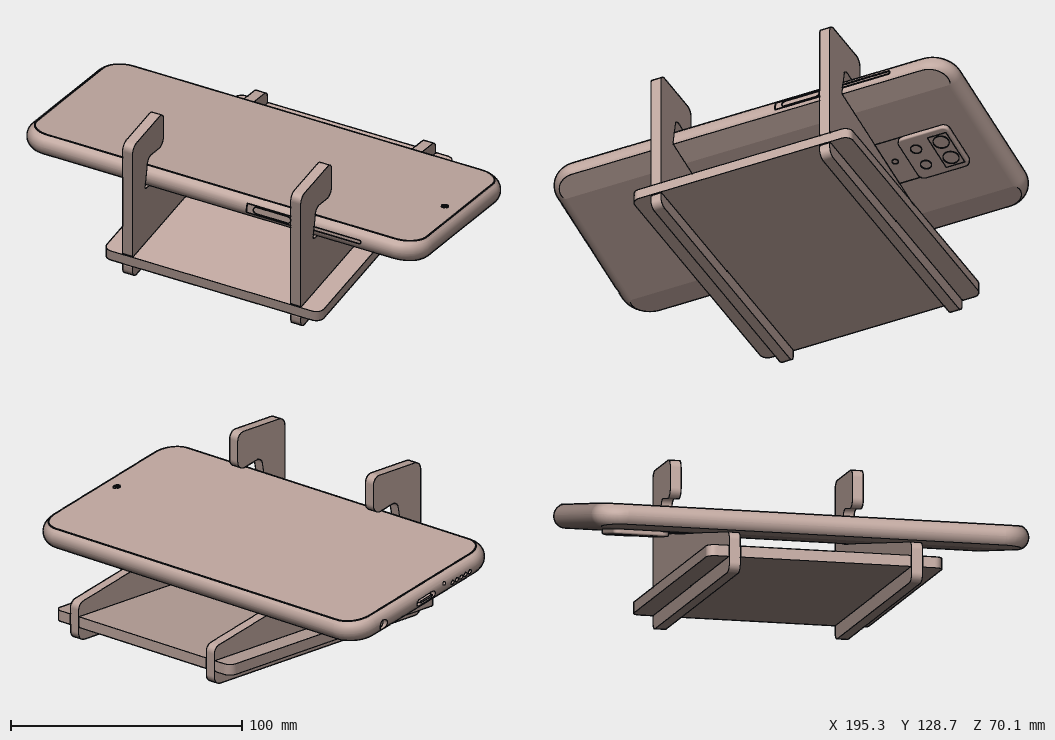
import cadquery as cq
import math


stand_depth = 128.7
stand_height = 70.1
sheet_thickness = 4.9
corner_radius = 3.7
tilt = 11.1
tilt_sin = math.sin(math.radians(tilt))
tilt_cos = math.cos(math.radians(tilt))

first_bracket_x = 58.0
bracket_pitch = 81.6
bracket_x_positions = [first_bracket_x, first_bracket_x + bracket_pitch]
seat_y = 11.7
seat_z = 40.2
slot_height = 15.5
hook_length = 29.5
slot_top_radius = 3.0
seat_radius = 1.4
lap_depth = stand_depth / 2
lap_mouth_radius = 1.0

plate_bottom = 6.5
plate_top = plate_bottom + sheet_thickness
plate_width = 105.5
plate_slot_width = 5.3
plate_center_x = first_bracket_x + (bracket_pitch + sheet_thickness) / 2

phone_length = 195.3
phone_width = 89.8
phone_thickness = 10.4
phone_corner_radius = 13.0
edge_radius = 5.3
side_flat = 0.04
glass_thickness = 1.2
glass_taper = 49.0
screen_thickness = 0.2
screen_inset = 0.4
back_bevel_width = 12.7
back_bevel_height = 1.8
mid_y = phone_width / 2
port_height = 4.1

selfie_x = 185.1
selfie_diameter = 1.8
selfie_depth = 0.8
selfie_rim_diameter = 3.1
selfie_rim_depth = 0.4
power_pocket_length = 24.5
power_pocket_height = 4.3
power_pocket_depth = 0.8
power_key_length = 18.2
power_key_height = 3.1
power_key_rise = 0.4
power_x = 123.8
power_z = 5.3
volume_start = 142.5
volume_end = 167.2
volume_height = 1.8
volume_depth = 0.5
volume_z = 5.0
port_depth = 3.0
usb_length = 11.5
usb_height = 3.3
usb_tongue_length = 7.8
usb_tongue_height = 1.0
jack_y = 71.9
jack_diameter = 4.7
speaker_count = 5
speaker_pitch = 2.7
speaker_diameter = 2.0
first_speaker_y = 17.2
mic_y = 33.2
mic_z = 6.0
mic_diameter = 1.5
camera_size = 24.6
camera_x = 167.2
camera_height = 2.1
camera_corner_radius = 3.0
camera_rim_radius = 0.8
lens_depth = 0.4
lens_spacing = 9.8
lens_offset = 6.0
small_lens_diameter = 4.9
large_lens_diameter = 7.0
lens_panel_width = 9.0
lens_panel_length = camera_size - 2 * camera_corner_radius
lens_panel_height = 0.2
flash_pad_start = 144.5
flash_pad_height = 0.2
flash_x = 148.5
flash_diameter = 2.7
flash_depth = 0.4


def make_bracket():
    """Side sheet with a sloped phone rest under a hook, slotted from the front for the plate."""
    ceiling_y = seat_y + slot_height * tilt_sin
    ceiling_z = seat_z + slot_height * tilt_cos
    hook_z = ceiling_z - (hook_length - ceiling_y) * tilt_sin / tilt_cos
    rear_z = seat_z - (stand_depth - seat_y) * tilt_sin / tilt_cos
    outline = [
        (0, 0),
        (stand_depth, 0),
        (stand_depth, rear_z),
        (seat_y, seat_z),
        (ceiling_y, ceiling_z),
        (hook_length, hook_z),
        (hook_length, stand_height),
        (0, stand_height),
    ]
    sheet = cq.Workplane("YZ").polyline(outline).close().extrude(sheet_thickness)
    lap_slot = cq.Workplane("XY").box(
        sheet_thickness, lap_depth, sheet_thickness, centered=False
    ).translate((0, 0, plate_bottom))
    sheet = sheet.cut(lap_slot)

    corner_radii = [corner_radius] * len(outline)
    corner_radii[outline.index((seat_y, seat_z))] = seat_radius
    corner_radii[outline.index((ceiling_y, ceiling_z))] = slot_top_radius
    rounded_corners = list(zip(outline, corner_radii))
    rounded_corners += [((0, plate_bottom), lap_mouth_radius), ((0, plate_top), lap_mouth_radius)]
    for (y, z), radius in rounded_corners:
        corner = cq.selectors.NearestToPointSelector((sheet_thickness / 2, y, z))
        sheet = sheet.edges(corner).fillet(radius)
    return sheet


def make_base_plate():
    """Flat plate with rounded corners, slotted from the rear for both brackets."""
    plate = (
        cq.Workplane("XY")
        .box(plate_width, stand_depth, sheet_thickness, centered=(True, False, False))
        .edges("|Z")
        .fillet(corner_radius)
        .translate((plate_center_x, 0, plate_bottom))
    )
    for x in bracket_x_positions:
        slot = cq.Workplane("XY").box(
            plate_slot_width, stand_depth - lap_depth, sheet_thickness, centered=(True, False, False)
        )
        plate = plate.cut(slot.translate((x + sheet_thickness / 2, lap_depth, plate_bottom)))
    return plate


def make_phone_body():
    """Round-edged slab with bevels along the back's long sides and taper-rimmed glass around the screen."""
    frame_thickness = phone_thickness - screen_thickness - glass_thickness
    full_round = (
        cq.Workplane("XY")
        .box(phone_length, phone_width, 2 * edge_radius + side_flat, centered=False)
        .edges("|Z")
        .fillet(phone_corner_radius)
        .faces("<Z or >Z")
        .edges()
        .fillet(edge_radius)
    )
    section = [
        (back_bevel_width, 0),
        (phone_width - back_bevel_width, 0),
        (phone_width, back_bevel_height),
        (phone_width, frame_thickness),
        (0, frame_thickness),
        (0, back_bevel_height),
    ]
    envelope = cq.Workplane("YZ").polyline(section).close().extrude(phone_length)
    frame = full_round.intersect(envelope)
    slab = frame.faces(">Z").wires().toPending().workplane().extrude(glass_thickness, taper=glass_taper)
    screen_outline = slab.faces(">Z").wires().val().offset2D(-screen_inset)
    screen = cq.Workplane("XY").add(screen_outline).toPending().extrude(screen_thickness)
    return slab.union(screen)


def front_side_plane(x, z, depth):
    """Plane facing the front at the given depth inside the phone's front long side."""
    return cq.Workplane(cq.Plane(origin=(x, depth, z), xDir=(1, 0, 0), normal=(0, -1, 0)))


def cut_side_keys(phone):
    """Power key standing in a flat pocket, and a shallow volume key groove beside it."""
    pocket = front_side_plane(power_x, power_z, power_pocket_depth).rect(
        power_pocket_length, power_pocket_height
    ).extrude(power_pocket_depth)
    key = front_side_plane(power_x, power_z, power_pocket_depth).slot2D(
        power_key_length, power_key_height
    ).extrude(power_key_rise)
    groove = front_side_plane((volume_start + volume_end) / 2, volume_z, volume_depth).slot2D(
        volume_end - volume_start, volume_height
    ).extrude(volume_depth)
    return phone.cut(pocket).union(key).cut(groove)


def left_end_plane(y, z):
    """Plane on the phone's left end, facing inward."""
    return cq.Workplane(cq.Plane(origin=(0, y, z), xDir=(0, 1, 0), normal=(1, 0, 0)))


def cut_end_ports(phone):
    """USB port with its tongue, headphone jack, microphone and a row of speaker holes in the left end."""
    usb_plane = left_end_plane(mid_y, port_height)
    usb_port = usb_plane.slot2D(usb_length, usb_height).extrude(port_depth)
    usb_tongue = usb_plane.slot2D(usb_tongue_length, usb_tongue_height).extrude(port_depth)
    phone = phone.cut(usb_port.cut(usb_tongue))
    holes = [(jack_y, port_height, jack_diameter), (mic_y, mic_z, mic_diameter)]
    for i in range(speaker_count):
        holes.append((first_speaker_y + i * speaker_pitch, port_height, speaker_diameter))
    for y, z, diameter in holes:
        phone = phone.cut(left_end_plane(y, z).circle(diameter / 2).extrude(port_depth))
    return phone


def cut_selfie_camera(phone):
    """Small stepped hole for the camera in the screen."""
    for diameter, depth in [(selfie_rim_diameter, selfie_rim_depth), (selfie_diameter, selfie_depth)]:
        hole = cq.Workplane("XY").circle(diameter / 2).extrude(depth)
        phone = phone.cut(hole.translate((selfie_x, mid_y, phone_thickness - depth)))
    return phone


def add_rear_camera(phone):
    """Camera block with four lenses, two of them on a raised panel, and a thin flash pad beside it."""
    block = (
        cq.Workplane("XY")
        .box(camera_size, camera_size, camera_height, centered=(True, True, False))
        .edges("|Z")
        .fillet(camera_corner_radius)
        .faces("<Z")
        .edges()
        .fillet(camera_rim_radius)
    )
    lens_panel = cq.Workplane("XY").box(
        lens_panel_width, lens_panel_length, lens_panel_height, centered=(True, True, False)
    ).translate((lens_offset, 0, -lens_panel_height))
    block = block.union(lens_panel)
    for x, bottom, diameter in [
        (-lens_offset, 0, small_lens_diameter),
        (lens_offset, -lens_panel_height, large_lens_diameter),
    ]:
        for y in [-lens_spacing / 2, lens_spacing / 2]:
            lens = cq.Workplane("XY").circle(diameter / 2).extrude(lens_depth)
            block = block.cut(lens.translate((x, y, bottom)))
    block = block.translate((camera_x, mid_y, -camera_height))

    pad = cq.Workplane("XY").box(
        camera_x - flash_pad_start, camera_size, flash_pad_height, centered=(False, True, False)
    ).translate((flash_pad_start, mid_y, -flash_pad_height))
    flash = cq.Workplane("XY").circle(flash_diameter / 2).extrude(flash_depth)
    flash = flash.translate((flash_x, mid_y, -flash_pad_height))
    return phone.union(pad).union(block).cut(flash)


def make_phone():
    """Complete phone, tilted onto the rest with its front side against the slot's end wall."""
    phone = make_phone_body()
    phone = cut_side_keys(phone)
    phone = cut_end_ports(phone)
    phone = cut_selfie_camera(phone)
    phone = add_rear_camera(phone)
    return phone.rotate((0, 0, 0), (1, 0, 0), -tilt).translate((0, seat_y, seat_z))


brackets = [make_bracket().translate((x, 0, 0)) for x in bracket_x_positions]
base_plate = make_base_plate()
phone = make_phone()

result = cq.Compound.makeCompound([
    *[bracket.solids().val() for bracket in brackets],
    base_plate.solids().val(),
    phone.solids().val(),
])